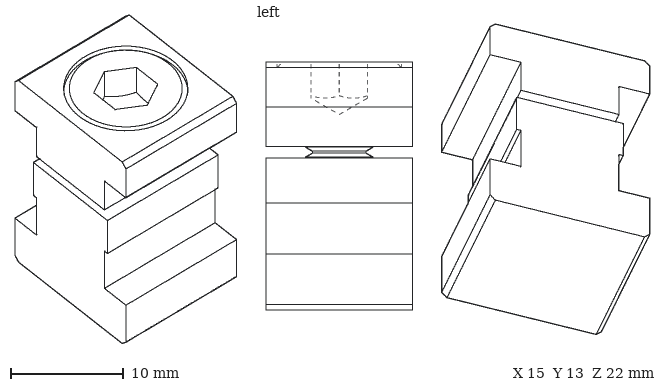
import cadquery as cq
import math

depth = 13.0
flange_width = 15.0
stem_width = 9.2
shoulder_width = 10.0
edge_chamfer = 0.5

lower_flange_top = 5.0
shoulder_bottom = 9.5
lower_block_top = 13.5
upper_block_bottom = 14.5
upper_flange_bottom = 18.0
total_height = 22.0

head_diameter = 11.0
head_chamfer = 0.5
thread_diameter = 6.0
thread_root_diameter = 4.773
thread_pitch = upper_block_bottom - lower_block_top
thread_flank_angle = 30.0
thread_crest_flat = thread_pitch / 16
socket_across_flats = 5.0
socket_depth = 3.0
socket_cone_angle = 120.0


def box_between(width, bottom, top):
    """Centred block of full depth spanning the given heights."""
    return cq.Workplane("XY").workplane(offset=bottom).rect(width, depth).extrude(top - bottom)


def make_lower_block():
    flange = box_between(flange_width, 0, lower_flange_top)
    flange = flange.faces("<Z").edges("|Y").chamfer(edge_chamfer)
    stem = box_between(stem_width, lower_flange_top, shoulder_bottom)
    shoulder = box_between(shoulder_width, shoulder_bottom, lower_block_top)
    return flange.union(stem).union(shoulder)


def make_upper_block():
    stem = box_between(stem_width, upper_block_bottom, upper_flange_bottom)
    flange = box_between(flange_width, upper_flange_bottom, total_height)
    flange = flange.faces(">Z").edges("|Y").chamfer(edge_chamfer)
    return stem.union(flange)


def make_thread_neck():
    """One V-shaped thread groove, exposed in the gap between the blocks."""
    crest_radius = thread_diameter / 2
    root_radius = thread_root_diameter / 2
    flank_height = (crest_radius - root_radius) * math.tan(math.radians(thread_flank_angle))
    lower_flank_start = lower_block_top + thread_crest_flat
    upper_flank_end = upper_block_bottom - thread_crest_flat
    profile = [
        (0, lower_block_top),
        (crest_radius, lower_block_top),
        (crest_radius, lower_flank_start),
        (root_radius, lower_flank_start + flank_height),
        (root_radius, upper_flank_end - flank_height),
        (crest_radius, upper_flank_end),
        (crest_radius, upper_block_bottom),
        (0, upper_block_bottom),
    ]
    return cq.Workplane("XZ").polyline(profile).close().revolve(360, (0, 0), (0, 1))


def make_head_groove():
    """V-shaped ring between the chamfered screw head and its straight bore."""
    bore_radius = head_diameter / 2
    profile = [
        (bore_radius - head_chamfer, total_height),
        (bore_radius, total_height),
        (bore_radius, total_height - head_chamfer),
    ]
    return cq.Workplane("XZ").polyline(profile).close().revolve(360, (0, 0), (0, 1))


def make_socket():
    """Hexagonal recess with corners on the X axis and a conical floor."""
    corner_radius = socket_across_flats / math.sqrt(3)
    tip_depth = corner_radius / math.tan(math.radians(socket_cone_angle / 2))
    corner_height = total_height - socket_depth
    tip_height = corner_height - tip_depth
    hexagon = (
        cq.Workplane("XY")
        .workplane(offset=tip_height)
        .polygon(6, 2 * corner_radius)
        .extrude(total_height - tip_height)
    )
    drill_profile = [
        (0, tip_height),
        (corner_radius, corner_height),
        (corner_radius, total_height),
        (0, total_height),
    ]
    drill = cq.Workplane("XZ").polyline(drill_profile).close().revolve(360, (0, 0), (0, 1))
    return hexagon.intersect(drill)


blocks = make_lower_block().union(make_thread_neck()).union(make_upper_block())
result = blocks.cut(make_head_groove()).cut(make_socket())